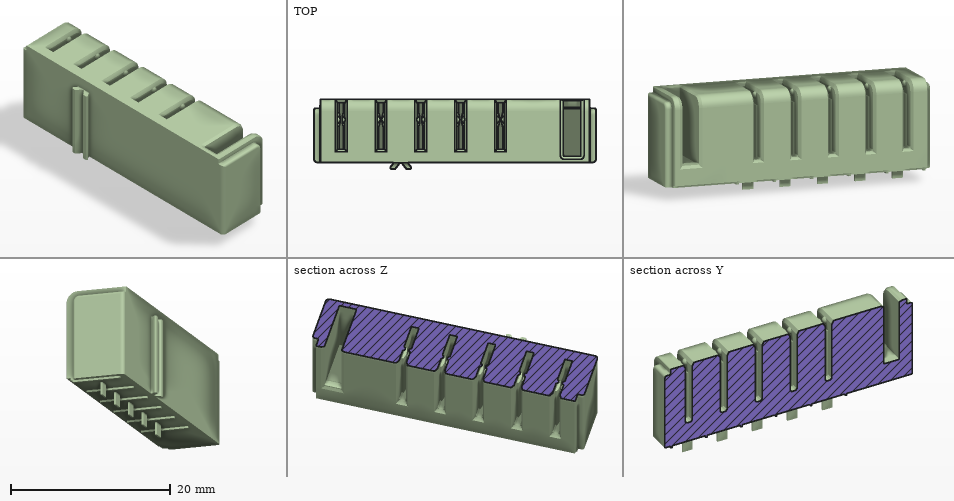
import cadquery as cq
import math

overall_length = 35.5
body_length = 33.85
body_depth = 8.0
body_height = 11.6
body_corner_radius = 1.5
body_edge_break = 0.07
foot_notch_depth = 0.55
foot_notch_height = 0.32

cap_depth = 6.85
cap_height = 10.83
cap_corner_radius = 0.78
cap_rim_fillet = 0.32
cap_front_fillet = 0.5
cap_root_chamfer = 0.07

contact_count = 5
contact_pitch = 5.0
first_contact_x = -14.3
contact_xs = [first_contact_x + i * contact_pitch for i in range(contact_count)]

slot_width = 0.92
slot_chamfer_width = 0.3
slot_chamfer_depth = 0.5
slot_front = 1.67
slot_floor = 2.85
channel_width = 0.55
channel_back = body_depth - slot_chamfer_depth
spring_y = 5.4
spring_half_length = 0.85
spring_gap = 0.2
spring_top = 9.6
dome_radius = 0.45
dome_z = 10.72

pocket_x = 14.75
pocket_width = 2.2
pocket_front = 0.78
pocket_floor = 2.85
pocket_chamfer_width = 0.4
pocket_chamfer_depth = 0.2
pocket_corner_radius = 0.15
lip_front = 6.75
lip_height = 0.15
lip_slope = 0.2

rail_x = -6.8
rail_height = 10.0
rail_reach = 0.8
rail_root_x = 1.0
rail_root_step = 0.18
rail_tip_x = 1.3
rail_bend = 0.57
rail_tip_bevel = 0.1
rail_inner_tip_x = 0.7
rail_valley_x = 0.15
rail_valley = 0.1

pin_width = 1.42
pin_thickness = 0.25
pin_length = 1.65
rib_width = 0.32
rib_height = 0.25
rib_inset = 0.85

overlap = 0.18
tolerance = 0.005


def box(x_min, x_max, y_min, y_max, z_min, z_max):
    """Block between opposite corners."""
    size = (x_max - x_min, y_max - y_min, z_max - z_min)
    return cq.Workplane("XY").box(*size, centered=False).translate((x_min, y_min, z_min))


def make_body():
    """Block with a rounded top back edge and a step under its back edge."""
    half = body_length / 2
    block = box(-half, half, 0, body_depth, 0, body_height)
    block = block.edges(">Y and >Z").fillet(body_corner_radius)
    notch = box(-half, half, body_depth - foot_notch_depth, body_depth, 0, foot_notch_height)
    block = block.cut(notch)
    ends = block.faces("|X").edges()
    return ends.filter(lambda edge: on_mouth(edge.positionAt(0.5))).chamfer(body_edge_break)


def make_end_caps():
    """One long block whose two ends stand out past the body as lower caps."""
    half = overall_length / 2
    rims = box(-half, half, -cap_depth, cap_depth, 0, cap_height)
    rims = rims.edges(">Y and >Z").fillet(cap_corner_radius)
    rims = rims.faces("|X").edges().filter(lambda edge: edge.Center().z > tolerance)
    rims = rims.filter(lambda edge: edge.Center().y > tolerance - cap_depth).fillet(cap_rim_fillet)
    fronts = box(-half, half, 0, cap_depth, 0, cap_height)
    fronts = fronts.edges("<Y and |Z").fillet(cap_front_fillet)
    return rims.intersect(fronts)


def is_cap_root(edge):
    """True for an edge of the inside corner where a cap meets the end wall of the body."""
    center = edge.Center()
    on_wall = abs(abs(center.x) - body_length / 2) < tolerance
    behind_front = tolerance < center.y < cap_depth + tolerance
    above_bottom = tolerance < center.z < cap_height + tolerance
    return on_wall and behind_front and above_bottom


def on_mouth(point):
    """True where a point lies on the top, the back or the rounded edge between them."""
    arc_y = body_depth - body_corner_radius
    arc_z = body_height - body_corner_radius
    if point.y > arc_y and point.z > arc_z:
        reach = math.hypot(point.y - arc_y, point.z - arc_z)
        return abs(reach - body_corner_radius) < tolerance
    return abs(point.z - body_height) < tolerance or abs(point.y - body_depth) < tolerance


def cut_recess(solid, center_x, width, front, floor, chamfer_width, chamfer_depth, corner_radius=0):
    """Cut a recess open to the top and the back, with a chamfer all around its mouth."""
    half = width / 2
    cutter = box(center_x - half, center_x + half, front, body_depth, floor, body_height)
    if corner_radius:
        cutter = cutter.edges("<Y and |Z").fillet(corner_radius)
    solid = solid.cut(cutter)

    def is_mouth_edge(edge):
        inside = abs(edge.Center().x - center_x) < half + tolerance
        return inside and on_mouth(edge.positionAt(0.5))

    return solid.edges().filter(is_mouth_edge).chamfer(chamfer_width, chamfer_depth)


def make_contact_spring(side):
    """Sloped floor strip, bowed spring and domed tip on one wall of a slot at X = 0."""
    wall = slot_width / 2
    channel = channel_width / 2
    buried = wall + overlap
    strip = (
        cq.Workplane("XZ", origin=(0, slot_front, 0))
        .moveTo(side * buried, slot_floor - overlap)
        .lineTo(side * channel, slot_floor - overlap)
        .lineTo(side * channel, slot_floor)
        .lineTo(side * wall, slot_floor + wall - channel)
        .lineTo(side * buried, slot_floor + wall - channel)
        .close()
        .extrude(slot_front - channel_back)
    )
    spring_back = spring_y + spring_half_length
    spring_front = spring_y - spring_half_length
    bow = (
        cq.Workplane("XY", origin=(0, 0, slot_floor - overlap))
        .moveTo(side * buried, spring_back)
        .lineTo(side * channel, spring_back)
        .threePointArc((side * spring_gap / 2, spring_y), (side * channel, spring_front))
        .lineTo(side * buried, spring_front)
        .close()
        .extrude(spring_top - slot_floor + overlap)
    )
    dome_x = spring_gap / 2 + dome_radius
    dome = cq.Workplane("XY").sphere(dome_radius).translate((side * dome_x, spring_y, dome_z))
    return strip.union(bow).union(dome)


def make_pocket_lip():
    """Raised back part of the pocket floor, with a sloped front."""
    half = pocket_width / 2
    back = body_depth - pocket_chamfer_depth
    return (
        cq.Workplane("YZ", origin=(pocket_x - half, 0, 0))
        .moveTo(lip_front, pocket_floor)
        .lineTo(lip_front + lip_slope, pocket_floor + lip_height)
        .lineTo(back, pocket_floor + lip_height)
        .lineTo(back, pocket_floor)
        .close()
        .extrude(pocket_width)
    )


def make_rail_leg(side):
    """Outward-leaning leg of the forked rail, merged into the front face."""
    tip_shoulder = rail_reach - rail_tip_bevel
    outline = [
        (0, overlap),
        (rail_root_x, overlap),
        (rail_root_x, -rail_root_step),
        (rail_tip_x, -rail_bend),
        (rail_tip_x, -tip_shoulder),
        (rail_tip_x - rail_tip_bevel, -rail_reach),
        (rail_inner_tip_x, -rail_reach),
        (rail_valley_x, -rail_valley),
        (0, -rail_valley),
    ]
    points = [(rail_x + side * x, y) for x, y in outline]
    return cq.Workplane("XY").polyline(points).close().extrude(rail_height)


def make_pin(center_x):
    """Flat solder pin below the housing."""
    middle = body_depth / 2
    half = pin_thickness / 2
    left = center_x - pin_width / 2
    return box(left, left + pin_width, middle - half, middle + half, -pin_length, overlap)


def make_foot_rib(center_x):
    """Thin standoff rib running front to back under the housing."""
    left = center_x - rib_width / 2
    return box(left, left + rib_width, rib_inset, body_depth - rib_inset, -rib_height, overlap)


housing = make_body().union(make_end_caps())
housing = housing.edges().filter(is_cap_root).chamfer(cap_root_chamfer)
for x in contact_xs:
    housing = cut_recess(
        housing, x, slot_width, slot_front, slot_floor, slot_chamfer_width, slot_chamfer_depth
    )
housing = cut_recess(
    housing,
    pocket_x,
    pocket_width,
    pocket_front,
    pocket_floor,
    pocket_chamfer_width,
    pocket_chamfer_depth,
    pocket_corner_radius,
)
housing = housing.union(make_pocket_lip())

for side in (-1, 1):
    housing = housing.union(make_rail_leg(side))
    spring = make_contact_spring(side)
    for x in contact_xs:
        housing = housing.union(spring.translate((x, 0, 0)))

for x in contact_xs:
    housing = housing.union(make_pin(x))
for i in range(contact_count + 1):
    housing = housing.union(make_foot_rib(first_contact_x + (i - 0.5) * contact_pitch))

result = housing